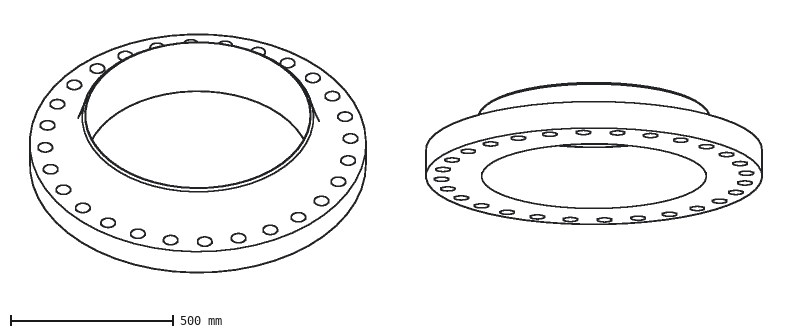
import cadquery as cq

flange_diameter = 1035.0
flange_thickness = 85.0
total_height = 197.0
bore_diameter = 691.0

neck_base_radius = 387.0
neck_end_radius = 356.0
neck_end_length = 13.0
bevel_height = 7.0
weld_land = 2.0
base_fillet = 7.0

bolt_count = 28
bolt_circle_diameter = 940.0
bolt_hole_diameter = 45.0

bore_radius = bore_diameter / 2
flange_radius = flange_diameter / 2


def flange_body():
    """Revolve the half section of flange and neck around the Z axis."""
    half_section = (
        cq.Workplane("XZ")
        .moveTo(bore_radius, 0)
        .lineTo(flange_radius, 0)
        .lineTo(flange_radius, flange_thickness)
        .lineTo(neck_base_radius, flange_thickness)
        .lineTo(neck_end_radius, total_height - neck_end_length)
        .lineTo(neck_end_radius, total_height - bevel_height)
        .lineTo(bore_radius + weld_land, total_height)
        .lineTo(bore_radius, total_height)
        .close()
    )
    return half_section.revolve(360, (0, 0, 0), (0, 1, 0))


def round_neck_base(body):
    """Fillet the inside corner between the neck and the flange face."""
    at_neck_base = cq.selectors.RadiusNthSelector(-2)
    return body.edges("%CIRCLE").edges(at_neck_base).fillet(base_fillet)


def bolt_holes():
    """Through holes evenly spaced on the bolt circle, one of them on +X."""
    return (
        cq.Workplane("XY")
        .polarArray(bolt_circle_diameter / 2, 0, 360, bolt_count)
        .circle(bolt_hole_diameter / 2)
        .extrude(flange_thickness)
    )


result = round_neck_base(flange_body()).cut(bolt_holes())